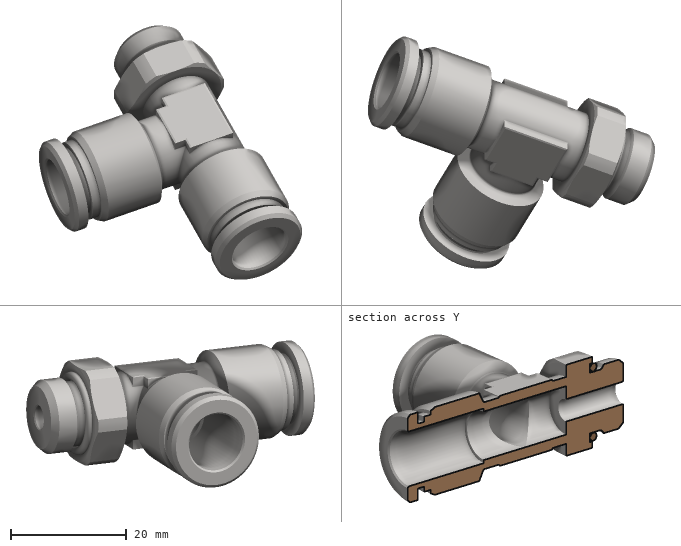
import cadquery as cq
import math


total_length = 48.6
arm_reach = 26.6
stud_end = arm_reach - total_length

neck_radius = 6.25
head_radius = 8.2
head_chamfer_radius = 7.7
collar_radius = 7.05
collet_neck_radius = 6.08
collet_root_radius = 6.2
arm_bore_radius = 4.45
collet_bore_radius = 5.05
collet_mouth_radius = 5.35

flange_chamfer = 0.6
flange_back = 2.35
collet_root = 2.6
collar_end = 3.7
head_end = 5.15
head_chamfer_back = 6.15
head_start = 16.2
shoulder_start = 17.15
shoulder_fillet = 0.3

thread_radius = 6.45
thread_tip_radius = 5.5
relief_radius = 5.7
stud_bore_radius = 2.05
stud_bore_chamfer = 0.2

thread_tip_length = 1.1
thread_end = 4.45
relief_start = 5.0
relief_fillet = 0.5
hex_face = 6.95
hex_end = 13.0

hex_across_flats = 17.0
hex_corner_radius = 9.25
hex_chamfer_length = 0.3

ring_section_radius = 0.8
ring_front = 6.05
recess_radius = relief_radius + 2 * ring_section_radius

pad_height = 6.55
pad_half_length = 6.05
pad_half_width = 4.1
pad_bevel_width = 0.3
pad_bevel_height = 0.1
crossing_fillet = 0.15


def place_arm(shape, toward_minus_y):
    """Leave a shape on the +X arm, or turn it onto the -Y arm."""
    return shape.rotate((0, 0, 0), (0, 0, 1), -90) if toward_minus_y else shape


def revolve_about_x(points):
    """Revolve a closed outline of (x, radius) points about the X axis."""
    return cq.Workplane("XY").polyline(points).close().revolve(360, (0, 0, 0), (1, 0, 0))


def round_ring_edge(shape, x, fillet_radius):
    """Fillet the one circular edge that lies in the plane at the given x."""
    rings = [edge for edge in shape.edges("%CIRCLE").vals() if abs(edge.Center().x - x) < 0.005]
    return shape.newObject(rings).fillet(fillet_radius)


def make_arm_head():
    """Socket and collet of one push-in arm along +X, with a stub of the neck it widens from."""
    stub_end = shoulder_start + 2 * shoulder_fillet
    profile = [
        (0, head_radius - flange_chamfer),
        (flange_chamfer, head_radius),
        (flange_back, head_radius),
        (flange_back, collet_root_radius),
        (collet_root, collet_neck_radius),
        (collar_end, collet_neck_radius),
        (collar_end, collar_radius),
        (head_end, collar_radius),
        (head_end, head_chamfer_radius),
        (head_chamfer_back, head_radius),
        (head_start, head_radius),
        (shoulder_start, neck_radius),
        (stub_end, neck_radius),
    ]
    outer = [(arm_reach - back, radius) for back, radius in profile]
    ends = [(arm_reach - stub_end, 0), (arm_reach, 0)]
    head = revolve_about_x(outer + ends)
    return round_ring_edge(head, arm_reach - shoulder_start, shoulder_fillet)


def make_arm_bore(bore_start):
    """Stepped bore of one push-in arm, along +X from the given start to the open end."""
    mouth_depth = collet_mouth_radius - collet_bore_radius
    tube_stop = arm_reach - shoulder_start
    return revolve_about_x([
        (bore_start, 0),
        (bore_start, arm_bore_radius),
        (tube_stop, arm_bore_radius),
        (tube_stop, collet_bore_radius),
        (arm_reach - mouth_depth, collet_bore_radius),
        (arm_reach, collet_mouth_radius),
        (arm_reach, 0),
    ])


def make_pad():
    """T-shaped label pad, from the middle plane up to its flat top with a shallow bevelled rim."""
    tab_half_width = pad_half_width
    outline = [
        (-pad_half_length, pad_half_width),
        (pad_half_length, pad_half_width),
        (pad_half_length, -pad_half_width),
        (tab_half_width, -pad_half_width),
        (tab_half_width, -pad_half_length),
        (-tab_half_width, -pad_half_length),
        (-tab_half_width, -pad_half_width),
        (-pad_half_length, -pad_half_width),
    ]
    pad = cq.Workplane("XY").polyline(outline).close().extrude(pad_height)
    return pad.faces(">Z").chamfer(pad_bevel_height, pad_bevel_width)


def is_crossing_corner(edge):
    """True for the inner corners where a pad meets a neck or the two necks meet each other."""
    start = edge.startPoint()
    end = edge.endPoint()
    center = edge.Center()
    on_necks = max(abs(start.z), abs(end.z)) < neck_radius + 0.005
    upright = edge.geomType() == "LINE" and abs(start.z - end.z) > pad_bevel_height
    on_seam = max(abs(start.z), abs(end.z)) < 0.005
    inside = max(abs(center.x), abs(center.y)) < neck_radius - 0.005
    return on_necks and inside and not upright and not on_seam


def make_crossing():
    """Run and branch necks with the label pads, all inner corners rounded."""
    run_start = stud_end + hex_end
    neck_end = arm_reach - shoulder_start
    run = cq.Workplane("YZ").workplane(offset=run_start).circle(neck_radius).extrude(neck_end - run_start)
    branch = cq.Workplane("XZ").circle(neck_radius).extrude(neck_end)
    pad = make_pad()
    crossing = run.union(branch).union(pad).union(pad.mirror("XY"))
    corners = [edge for edge in crossing.edges().vals() if is_crossing_corner(edge)]
    return crossing.newObject(corners).fillet(crossing_fillet)


def make_threaded_end():
    """Plain thread cylinder with its tip chamfer and relief groove, carried on through the hexagon."""
    profile = [
        (0, 0),
        (0, thread_tip_radius),
        (thread_tip_length, thread_radius),
        (thread_end, thread_radius),
        (relief_start, relief_radius),
        (hex_end, relief_radius),
        (hex_end, 0),
    ]
    thread = revolve_about_x([(stud_end + along, radius) for along, radius in profile])
    return round_ring_edge(thread, stud_end + relief_start, relief_fillet)


def make_hexagon():
    """Hexagon with flats facing up and down, its corners turned round and chamfered at both faces."""
    hex_diameter = hex_across_flats / math.cos(math.pi / 6)
    hexagon = (
        cq.Workplane("YZ")
        .workplane(offset=stud_end + hex_face)
        .polygon(6, hex_diameter)
        .extrude(hex_end - hex_face)
    )
    face_radius = hex_across_flats / 2
    turned = [
        (hex_face, 0),
        (hex_face, face_radius),
        (hex_face + hex_chamfer_length, hex_corner_radius),
        (hex_end - hex_chamfer_length, hex_corner_radius),
        (hex_end, face_radius),
        (hex_end, 0),
    ]
    return hexagon.intersect(revolve_about_x([(stud_end + along, radius) for along, radius in turned]))


def make_ring_recess():
    """Round recess in the hexagon face, as deep as the O-ring reaches."""
    recess_end = ring_front + 2 * ring_section_radius
    return (
        cq.Workplane("YZ")
        .workplane(offset=stud_end + hex_face)
        .circle(recess_radius)
        .extrude(recess_end - hex_face)
    )


def make_stud_bore():
    """Narrow bore through the stud, chamfered at the open end."""
    profile = [
        (0, 0),
        (0, stud_bore_radius + stud_bore_chamfer),
        (stud_bore_chamfer, stud_bore_radius),
        (hex_end, stud_bore_radius),
        (hex_end, 0),
    ]
    return revolve_about_x([(stud_end + along, radius) for along, radius in profile])


def make_fitting():
    """Complete fitting body with the stud, the crossing and both push-in arms."""
    fitting = make_hexagon().cut(make_ring_recess()).union(make_threaded_end()).union(make_crossing())
    for toward_minus_y in (False, True):
        fitting = fitting.union(place_arm(make_arm_head(), toward_minus_y))

    fitting = fitting.cut(make_stud_bore())
    for toward_minus_y, bore_start in ((False, stud_end + hex_end), (True, 0)):
        fitting = fitting.cut(place_arm(make_arm_bore(bore_start), toward_minus_y))
    return fitting


def make_o_ring():
    """O-ring around the relief groove, half sunk into the hexagon face."""
    ring_center = stud_end + ring_front + ring_section_radius
    ring_radius = relief_radius + ring_section_radius
    return (
        cq.Workplane("XY")
        .center(ring_center, ring_radius)
        .circle(ring_section_radius)
        .revolve(360, (0, -ring_radius, 0), (1, -ring_radius, 0))
    )


fitting = make_fitting()
o_ring = make_o_ring()
result = cq.Compound.makeCompound([fitting.val(), o_ring.val()])